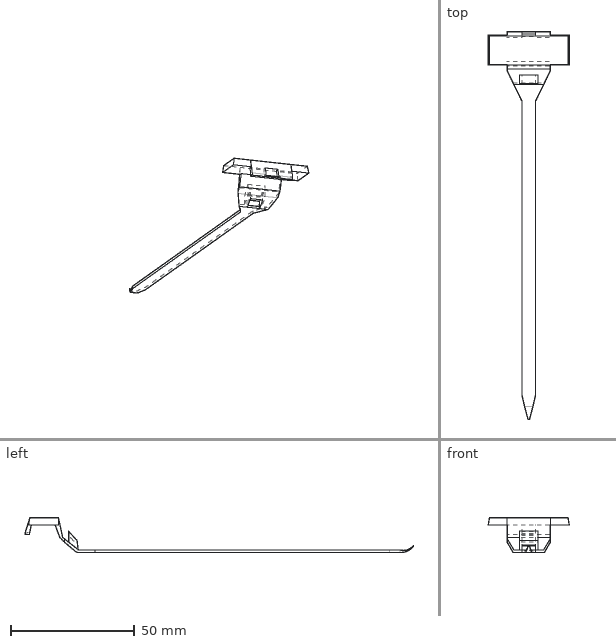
import cadquery as cq

length = 157.8
height = 14.2
sheet = 1.1

cap_width = 33.0
cap_height = 3.0
cap_front = 144.2
cap_back = 156.3
cap_lean = 0.5
cap_base = height - cap_height

neck_width = 17.7
strip_width = 5.5
ramp_top_y = 142.5
ramp_top_z = 6.2
ramp_foot_y = 136.1
shoulder_y = 141.8
neck_end_y = 129.4
point_start_y = 9.8
tip_bend_y = 5.4
tip_bend_width = 3.5
tip_width = 0.6
tip_height = 2.8
tip_thickness = 0.3
tip_arc_y = tip_bend_y / 2
tip_arc_sag = 0.5
tip_arc_thickness = 0.6

leg_inner_y = 145.6
bend_upper_y = 143.7
bend_lower_y = 141.5
bend_lower_z = 4.0
ramp_under_y = 136.8

prong_bottom = 7.3
prong_foot_height = 1.0
prong_inner_y = 155.2
prong_foot_inner_y = 156.0
sill_inner_y = 155.2
sill_inner_z = 8.7
sill_outer_z = 7.7

lug_width = 7.5
lug_wall = 1.1
lug_back = 140.1
lug_front = 136.6
lug_peak = 8.7
lug_brow = 4.9
roof_drop = 1.7


def side_profile(points, width):
    """Extrude a closed Y-Z outline evenly to both sides of X = 0."""
    return cq.Workplane("YZ").polyline(points).close().extrude(width / 2, both=True)


def make_cap():
    top_width = cap_width - 2 * cap_lean
    block = side_profile(
        [
            (cap_front, cap_base),
            (cap_front, height),
            (cap_back - cap_lean, height),
            (cap_back, cap_base),
        ],
        cap_width,
    )
    ends = (
        cq.Workplane("XZ", origin=(0, length, 0))
        .moveTo(-cap_width / 2, cap_base)
        .lineTo(cap_width / 2, cap_base)
        .lineTo(top_width / 2, height)
        .lineTo(-top_width / 2, height)
        .close()
        .extrude(length)
    )
    return block.intersect(ends)


def make_strip():
    bent_sheet = (
        cq.Workplane("YZ")
        .moveTo(cap_front, height)
        .lineTo(ramp_top_y, ramp_top_z)
        .lineTo(ramp_foot_y, sheet)
        .lineTo(tip_bend_y, sheet)
        .threePointArc((tip_arc_y, tip_arc_sag + tip_arc_thickness), (0, tip_height))
        .lineTo(0, tip_height - tip_thickness)
        .threePointArc((tip_arc_y, tip_arc_sag), (tip_bend_y, 0))
        .lineTo(ramp_under_y, 0)
        .lineTo(bend_lower_y, bend_lower_z)
        .lineTo(bend_upper_y, ramp_top_z)
        .lineTo(leg_inner_y, cap_base)
        .lineTo(leg_inner_y, height)
        .close()
        .extrude(neck_width / 2, both=True)
    )
    half_outline = [
        (tip_width / 2, 0),
        (tip_bend_width / 2, tip_bend_y),
        (strip_width / 2, point_start_y),
        (strip_width / 2, neck_end_y),
        (neck_width / 2, shoulder_y),
        (neck_width / 2, length),
    ]
    mirrored = [(-x, y) for x, y in reversed(half_outline)]
    plan = cq.Workplane("XY").polyline(half_outline + mirrored).close().extrude(height)
    return bent_sheet.intersect(plan)


def make_prong():
    prong = side_profile(
        [
            (cap_back - cap_lean, height),
            (length, prong_bottom + prong_foot_height),
            (length, prong_bottom),
            (prong_foot_inner_y, prong_bottom),
            (prong_inner_y, cap_base),
            (prong_inner_y, height),
        ],
        neck_width,
    )
    window = side_profile(
        [
            (sill_inner_y, sill_inner_z),
            (length, sill_outer_z),
            (length, cap_base),
            (sill_inner_y, cap_base),
        ],
        strip_width,
    )
    return prong.cut(window)


def make_lug():
    ramp_slope = (ramp_top_z - sheet) / (ramp_top_y - ramp_foot_y)
    lug_back_foot = sheet + ramp_slope * (lug_back - ramp_foot_y)
    return side_profile(
        [
            (lug_back, lug_peak),
            (lug_front, lug_brow),
            (ramp_foot_y, sheet),
            (ramp_foot_y, sheet / 2),
            (lug_back, lug_back_foot - sheet / 2),
        ],
        lug_width,
    )


def make_lug_opening():
    """Space under the roof, open at the front and back and down through the ramp."""
    return side_profile(
        [
            (lug_back, lug_peak - roof_drop),
            (lug_front, lug_brow - roof_drop),
            (ramp_foot_y, lug_brow - roof_drop),
            (ramp_foot_y, sheet),
            (ramp_under_y, 0),
            (lug_back, 0),
        ],
        lug_width - 2 * lug_wall,
    )


result = make_strip().union(make_lug()).cut(make_lug_opening()).union(make_cap()).union(make_prong())